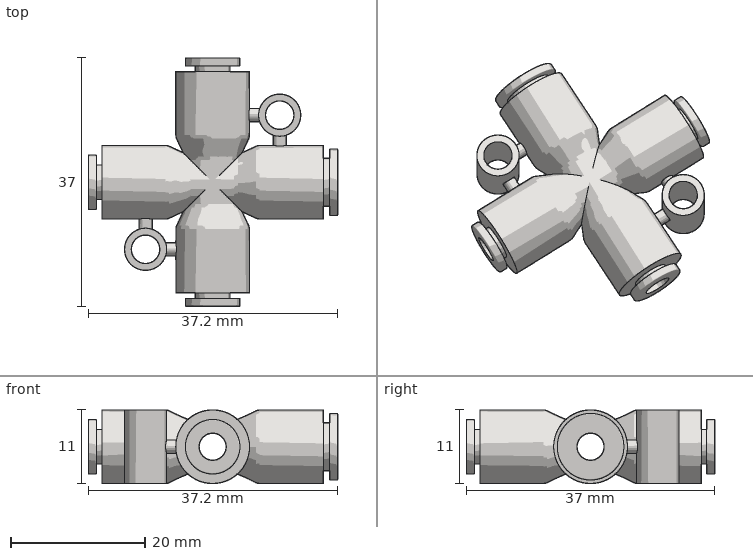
import cadquery as cq
import math

body_radius = 5.5
body_end = 16.5
shoulder_distance = 6.73
cone_length = 3.2
cone_angle = 25.0
blend_radius = 1.25
neck_radius = body_radius - cone_length * math.tan(math.radians(cone_angle))

bore_radius = 2.0
collar_thickness = 1.22
collar_rounding = 0.15
small_collar_end = 18.52
small_collar_radius = 4.07
small_sleeve_radius = 2.6
large_collar_end = 18.65
large_collar_radius = 4.97
large_sleeve_radius = 3.6

ring_offset = 10.0
ring_outer_radius = 3.15
ring_inner_radius = 2.1
ring_height = 2 * body_radius
strut_radius = 1.0


def make_arm_body():
    """Barrel, cone and neck of the arm along +X."""
    cone_start = shoulder_distance - cone_length
    outline = (
        cq.Workplane("XY")
        .lineTo(0, neck_radius)
        .lineTo(cone_start, neck_radius)
        .lineTo(shoulder_distance, body_radius)
        .lineTo(body_end, body_radius)
        .lineTo(body_end, 0)
    )
    body = outline.close().revolve(360, (0, 0, 0), (1, 0, 0))
    cone_ends = body.edges("%CIRCLE").edges("not (<X or >X)")
    return cone_ends.fillet(blend_radius)


def make_collar(collar_end, collar_radius, sleeve_radius):
    """Sleeve and rounded flange at the end of the arm along +X."""
    sleeve = cq.Workplane("YZ", origin=(body_end, 0, 0)).circle(sleeve_radius).extrude(collar_end - body_end)
    flange = (
        cq.Workplane("YZ", origin=(collar_end - collar_thickness, 0, 0))
        .circle(collar_radius)
        .extrude(collar_thickness)
        .edges("%CIRCLE")
        .fillet(collar_rounding)
    )
    return sleeve.union(flange)


def make_ring_struts():
    """Two struts that run from the arm axes to the ring in the +X +Y corner."""
    along_x = cq.Workplane("YZ", origin=(0, ring_offset, 0)).circle(strut_radius).extrude(ring_offset)
    along_y = cq.Workplane("XZ", origin=(ring_offset, 0, 0)).circle(strut_radius).extrude(-ring_offset)
    return along_x.union(along_y)


def ring_cylinder(radius):
    """Upright cylinder on the ring axis in the +X +Y corner."""
    return (
        cq.Workplane("XY", origin=(ring_offset, ring_offset, -ring_height / 2))
        .circle(radius)
        .extrude(ring_height)
    )


def turn(shape, angle):
    """Turn a shape about the vertical centre axis."""
    return shape.rotate((0, 0, 0), (0, 0, 1), angle)


large_collar = make_collar(large_collar_end, large_collar_radius, large_sleeve_radius)
small_collar = make_collar(small_collar_end, small_collar_radius, small_sleeve_radius)
arm_body = make_arm_body()
result = arm_body.union(large_collar)
for angle in (90, 180, 270):
    result = result.union(turn(arm_body, angle)).union(turn(small_collar, angle))

corner_ring = make_ring_struts().union(ring_cylinder(ring_outer_radius)).cut(ring_cylinder(ring_inner_radius))
for angle in (0, 180):
    result = result.union(turn(corner_ring, angle))

bore = cq.Workplane("YZ").circle(bore_radius).extrude(large_collar_end, both=True)
for angle in (0, 90):
    result = result.cut(turn(bore, angle))